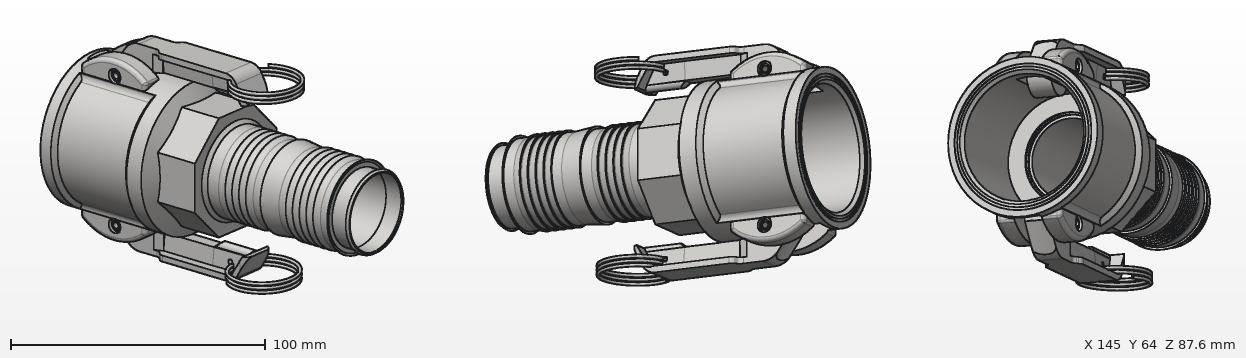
import cadquery as cq
import math

LENGTH = 145.0
HALF_HEIGHT = 43.8
REACH = 87.0
CLEARANCE = 1.5

body_radius = 64.0 / 2
body_end = 51.5
cone_angle = math.radians(60)
bore_radius = 51.0 / 2
bore_chamfer = 1.5
floor_x = 44.2
face_groove_outer = 29.3
face_groove_inner = 28.1
face_groove_depth = 0.5

hex_flats = 50.2
hex_end = 73.2
octagon_sides = 8

relief_start = 5.4
relief_end = 44.1
relief_floor_start = 7.1
relief_floor_end = 41.9
relief_radius = 29.9
relief_edge_y = 14.2
relief_edge_z = 28.3
relief_floor_y = 15.5
relief_floor_z = 25.5
relief_round_y = 14.5
relief_round_z = 26.8

shoulder_radius = 41.9 / 2
shoulder_end = 74.8
tail_radius = 37.0 / 2
tooth_radius = 38.5 / 2
tooth_pitch = 3.5
tooth_length = 3.0
teeth_per_group = 5
first_group_x = 80.3
second_group_x = 114.7
barb_x = 102.0
barb_end = 110.5
barb_radius = 39.0 / 2
tail_end = 136.2
tail_lip = 0.1
sleeve_radius = 33.0 / 2
sleeve_flange_radius = 35.0 / 2
sleeve_rim_radius = 16.7
sleeve_flange_x = 143.8
passage_radius = 32.3 / 2
passage_step_radii = (36.5 / 2, 35.0 / 2)
passage_step_depth = 1.0

ear_center_x = 22.0
ear_half_length = 16.7
ear_top = 38.3
ear_arc_radius = 25.4
ear_base = 24.6
ear_inner_y = 11.7 / 2
ear_outer_y = 14.0
ear_edge_round = 1.9
ear_end_round = 1.5

window_start = 7.5
window_end = 34.5
window_bottom = 14.5
ramp_start = 2.0
ramp_angle = math.radians(45)

pin_x = 23.0
pin_z = 31.5
pin_radius = 3.0
pin_recess = 0.7
pin_bore_radius = 1.3
pin_chamfer = 1.0

lever_offset_y = -0.3
cam_width = 10.3
cam_x = 23.2
cam_z = 29.0
cam_radius = 8.5
nose_x = 21.5
nose_z = 40.5
crown_x = 28.1
cam_slope = math.radians(55)
scoop_radius = 18.1
scoop_depth = 0.7
cam_back_x = 35.4
plate_width = 15.7
plate_thickness = 2.6
plate_neck_x = 38.3
plate_wide_x = 40.6
plate_neck_round = 2.9
plate_bend_x = 74.5
plate_bend_radius = 6.4
plate_bend_angle = math.radians(60)
lip_end_x = 85.1
lip_thickness = 2.5
lip_round = 3.6
web_start = 39.2
web_top_width = 7.2
web_bottom_width = 5.8
web_end_narrowing = 1.5
web_bottom = 33.6
foot_start = 64.1
foot_slope_length = 2.9
foot_bottom = 31.3
ring_hole_x = 72.6
ring_hole_z = 37.7
ring_hole_radius = 1.0

ring_x = 88.0
ring_y = 0.7
ring_coil_radius = 14.4
ring_wire_radius = 0.7
ring_pitch = 1.7
ring_full_turns = 2
ring_top_z = 42.0
ring_top_angle = 126
ring_hole_angle = 180


def revolve_about_x(points):
    """Solid of revolution from (x, radius) points; the outline is closed along the axis."""
    outline = [(points[0][0], 0), *points, (points[-1][0], 0)]
    return cq.Workplane("XY").polyline(outline).close().revolve(360, (0, 0, 0), (1, 0, 0))


def slab(outline, width):
    """Extrude a closed XZ outline symmetrically about Y = 0."""
    return outline.extrude(width / 2, both=True)


def xz_polygon(points):
    return cq.Workplane("XZ").polyline(points).close()


def both_sides(solid):
    """A feature together with its copy turned half a turn about X."""
    return solid.union(solid.rotate((0, 0, 0), (1, 0, 0), 180))


def make_socket():
    cone_end = body_end + (body_radius - shoulder_radius) / math.tan(cone_angle)
    socket = revolve_about_x([
        (0, body_radius),
        (body_end, body_radius),
        (cone_end, shoulder_radius),
    ])
    octagon_diameter = hex_flats / math.cos(math.pi / octagon_sides)
    octagon = (
        cq.Workplane("YZ", origin=(floor_x, 0, 0))
        .transformed(rotate=(0, 0, 180 / octagon_sides))
        .polygon(octagon_sides, octagon_diameter)
        .extrude(hex_end - floor_x)
    )
    return socket.union(octagon)


def make_relief():
    top = body_radius + CLEARANCE
    flare = (top - relief_radius) / (body_radius - relief_radius)
    lead_in = (relief_floor_start - relief_start) * flare
    lead_out = (relief_end - relief_floor_end) * flare
    ring = (
        cq.Workplane("XY")
        .polyline([
            (relief_floor_start, relief_radius),
            (relief_floor_end, relief_radius),
            (relief_floor_end + lead_out, top),
            (relief_floor_start - lead_in, top),
        ])
        .close()
        .revolve(360, (0, 0, 0), (1, 0, 0))
    )
    side = (
        cq.Workplane("YZ")
        .moveTo(relief_floor_y, -relief_floor_z)
        .threePointArc((relief_round_y, -relief_round_z), (relief_edge_y, -relief_edge_z))
        .lineTo(relief_edge_y, -top)
        .lineTo(REACH, -top)
        .lineTo(REACH, top)
        .lineTo(relief_edge_y, top)
        .lineTo(relief_edge_y, relief_edge_z)
        .threePointArc((relief_round_y, relief_round_z), (relief_floor_y, relief_floor_z))
        .close()
        .extrude(LENGTH)
    )
    return both_sides(ring.intersect(side))


def tooth_points(first_x):
    """Saw-tooth outline: each tooth rises at once, then falls in a cone to the tail radius."""
    points = []
    for i in range(teeth_per_group):
        x = first_x + i * tooth_pitch
        points += [(x, tail_radius), (x, tooth_radius), (x + tooth_length, tail_radius)]
    return points


def make_tail():
    first_group = tooth_points(first_group_x)[1:]
    return revolve_about_x([
        (body_end, shoulder_radius),
        (hex_end, shoulder_radius),
        (shoulder_end, tooth_radius),
        *first_group,
        (barb_x, tail_radius),
        (barb_x, barb_radius),
        (barb_end, tail_radius),
        *tooth_points(second_group_x),
        (tail_end - tail_lip, tail_radius),
        (tail_end - tail_lip, barb_radius),
        (tail_end, barb_radius),
        (tail_end, sleeve_radius),
        (sleeve_flange_x, sleeve_radius),
        (sleeve_flange_x, sleeve_flange_radius),
        (LENGTH, sleeve_rim_radius),
    ])


def make_bore():
    outer_step, inner_step = passage_step_radii
    first_step_x = floor_x + passage_step_depth
    second_step_x = first_step_x + passage_step_depth
    return revolve_about_x([
        (0, bore_radius + bore_chamfer),
        (bore_chamfer, bore_radius),
        (floor_x, bore_radius),
        (floor_x, outer_step),
        (first_step_x, outer_step),
        (first_step_x, inner_step),
        (second_step_x, inner_step),
        (second_step_x, passage_radius),
        (LENGTH, passage_radius),
    ])


def make_face_groove():
    """Shallow ring groove in the mouth face."""
    ring = cq.Workplane("YZ").circle(face_groove_outer).circle(face_groove_inner)
    return ring.extrude(face_groove_depth)


def make_ears():
    left = ear_center_x - ear_half_length
    right = ear_center_x + ear_half_length
    arc_drop = ear_arc_radius - math.sqrt(ear_arc_radius**2 - ear_half_length**2)
    shoulder_z = ear_top - arc_drop
    ear = (
        cq.Workplane("XZ", origin=(0, -ear_inner_y, 0))
        .moveTo(left, ear_base)
        .lineTo(left, shoulder_z)
        .threePointArc((ear_center_x, ear_top), (right, shoulder_z))
        .lineTo(right, ear_base)
        .close()
        .extrude(ear_outer_y - ear_inner_y)
    )
    ear = ear.edges("|Y and (not <Z)").fillet(ear_end_round)
    ear = ear.faces("<Y").edges("not(<Z)").fillet(ear_edge_round)
    return ear.union(ear.mirror("XZ"))


def make_window():
    window = cq.Workplane("XY").box(
        window_end - window_start, 2 * ear_inner_y, REACH, centered=(False, True, False)
    ).translate((window_start, 0, window_bottom))
    ramp_drop = (window_start - ramp_start) * math.tan(ramp_angle)
    ramp = slab(
        xz_polygon([
            (ramp_start, body_radius),
            (window_start, body_radius - ramp_drop),
            (window_start, body_radius + CLEARANCE),
            (ramp_start, body_radius + CLEARANCE),
        ]),
        2 * ear_inner_y,
    )
    return window.union(ramp)


def y_cylinder(x, z, radius, half_length):
    return cq.Workplane("XZ").center(x, z).circle(radius).extrude(half_length, both=True)


def make_cam():
    """Narrow front of the lever: round cam, scooped sloping nose and rounded crown."""
    left = cam_x - cam_radius
    slope_foot_z = nose_z - (nose_x - left) * math.tan(cam_slope)
    run = crown_x - nose_x
    rise = HALF_HEIGHT - nose_z
    crown_radius = (run**2 + rise**2) / (2 * rise)
    half_turn = math.atan2(run, crown_radius - rise) / 2
    crown_mid = (
        crown_x - crown_radius * math.sin(half_turn),
        HALF_HEIGHT - crown_radius * (1 - math.cos(half_turn)),
    )
    outline = (
        cq.Workplane("XZ")
        .moveTo(left, cam_z)
        .lineTo(left, slope_foot_z)
        .lineTo(nose_x, nose_z)
        .threePointArc(crown_mid, (crown_x, HALF_HEIGHT))
        .lineTo(cam_back_x, HALF_HEIGHT)
        .lineTo(cam_back_x, web_bottom)
        .lineTo(cam_x + cam_radius, cam_z)
        .threePointArc((cam_x, cam_z - cam_radius), (left, cam_z))
        .close()
    )
    cam = slab(outline, cam_width)
    slope_direction = (math.cos(cam_slope), 0, math.sin(cam_slope))
    outward = (-math.sin(cam_slope), 0, math.cos(cam_slope))
    distance = scoop_radius - scoop_depth
    scoop_start = cq.Vector(left, 0, slope_foot_z) + cq.Vector(*outward) * distance
    scoop_plane = cq.Plane(scoop_start.toTuple(), (0, 1, 0), slope_direction)
    scoop = cq.Workplane(scoop_plane).circle(scoop_radius).extrude(REACH)
    return cam.cut(scoop)


def lip_inner_x(z):
    """X of the inner face of the lip at height z."""
    inner_foot_x = lip_end_x - lip_thickness
    return inner_foot_x - (z - foot_bottom) / math.tan(plate_bend_angle)


def make_plate():
    """Flat handle plate, bent down at its end into a rounded lip."""
    under = HALF_HEIGHT - plate_thickness

    def bend_point(angle):
        x = plate_bend_x + plate_bend_radius * math.sin(angle)
        z = HALF_HEIGHT - plate_bend_radius * (1 - math.cos(angle))
        return (x, z)

    bend_end = bend_point(plate_bend_angle)
    lip_end_z = bend_end[1] - (lip_end_x - bend_end[0]) * math.tan(plate_bend_angle)
    outline = (
        cq.Workplane("XZ")
        .moveTo(crown_x, HALF_HEIGHT)
        .lineTo(plate_bend_x, HALF_HEIGHT)
        .threePointArc(bend_point(plate_bend_angle / 2), bend_end)
        .lineTo(lip_end_x, lip_end_z)
        .lineTo(lip_end_x - lip_thickness, lip_end_z)
        .lineTo(lip_inner_x(under), under)
        .lineTo(crown_x, under)
        .close()
    )
    neck = cam_width / 2
    wide = plate_width / 2
    plan = (
        cq.Workplane("XY")
        .polyline([
            (crown_x, -neck),
            (plate_neck_x, -neck),
            (plate_wide_x, -wide),
            (lip_end_x, -wide),
            (lip_end_x, wide),
            (plate_wide_x, wide),
            (plate_neck_x, neck),
            (crown_x, neck),
        ])
        .close()
        .extrude(REACH)
        .edges("|Z and >X")
        .fillet(lip_round)
    )
    neck_box = cq.selectors.BoxSelector(
        (plate_neck_x - CLEARANCE, -plate_width, 0),
        (plate_wide_x + CLEARANCE, plate_width, REACH),
    )
    plan = plan.edges("|Z").edges(neck_box).fillet(plate_neck_round)
    return slab(outline, plate_width).intersect(plan)


def web_section(top_width, bottom_width):
    top_z = HALF_HEIGHT - plate_thickness
    return [
        (-top_width / 2, top_z),
        (top_width / 2, top_z),
        (bottom_width / 2, web_bottom),
        (-bottom_width / 2, web_bottom),
    ]


def make_web():
    """Stiffening web below the plate, with a round-bottomed foot near the lip."""
    full = web_section(web_top_width, web_bottom_width)
    end_top_width = web_top_width - web_end_narrowing
    end_bottom_width = web_bottom_width - web_end_narrowing
    front = (
        cq.Workplane("YZ", origin=(web_start, 0, 0))
        .polyline(full).close()
        .extrude(foot_start - web_start)
    )
    rear = (
        cq.Workplane("YZ", origin=(foot_start, 0, 0))
        .polyline(full).close()
        .workplane(offset=lip_end_x - foot_start)
        .polyline(web_section(end_top_width, end_bottom_width)).close()
        .loft(combine=True)
    )
    foot = (
        cq.Workplane("YZ", origin=(foot_start, 0, 0))
        .moveTo(-end_bottom_width / 2, web_bottom)
        .threePointArc((0, foot_bottom), (end_bottom_width / 2, web_bottom))
        .close()
        .extrude(lip_end_x - foot_start)
    )
    side = slab(
        xz_polygon([
            (web_start, HALF_HEIGHT),
            (web_start, web_bottom),
            (foot_start, web_bottom),
            (foot_start + foot_slope_length, foot_bottom),
            (lip_inner_x(foot_bottom), foot_bottom),
            (lip_inner_x(HALF_HEIGHT), HALF_HEIGHT),
        ]),
        plate_width,
    )
    transition = (
        cq.Workplane("YZ", origin=(cam_back_x, 0, (HALF_HEIGHT + web_bottom) / 2))
        .rect(cam_width, HALF_HEIGHT - web_bottom)
        .workplane(offset=web_start - cam_back_x)
        .rect(web_top_width, HALF_HEIGHT - web_bottom)
        .loft(combine=True)
    )
    return front.union(rear).union(foot).intersect(side).union(transition)


def make_coil(turns):
    """Part of the ring wire: a helix that climbs from Z = 0, starting on the +X side."""
    path = cq.Wire.makeHelix(ring_pitch, ring_pitch * turns, ring_coil_radius)
    return (
        cq.Workplane("XZ")
        .center(ring_coil_radius, 0)
        .circle(ring_wire_radius)
        .sweep(cq.Workplane(obj=path), isFrenet=True)
    )


def make_ring():
    """Split ring with its axis along Z: full turns above a part turn that ends in the hole."""
    lost_angle = ring_hole_angle - ring_top_angle
    part_turn = 1 - lost_angle / 360
    ring = make_coil(part_turn).rotate((0, 0, 0), (0, 0, 1), lost_angle)
    full_turn = make_coil(1)
    for i in range(ring_full_turns):
        ring = ring.union(full_turn.translate((0, 0, (part_turn + i) * ring_pitch)))
    bottom_z = ring_top_z - ring_pitch * (ring_full_turns + part_turn)
    ring = ring.rotate((0, 0, 0), (0, 0, 1), ring_top_angle)
    return ring.translate((ring_x, ring_y, bottom_z))


def make_lever():
    lever = make_cam().union(make_plate()).union(make_web())
    lever = lever.cut(y_cylinder(ring_hole_x, ring_hole_z, ring_hole_radius, plate_width))
    return lever.translate((0, lever_offset_y, 0)).union(make_ring())


def make_pin():
    """Solid hinge pin with chamfered ends, set back from the ear faces."""
    pin = y_cylinder(pin_x, pin_z, pin_radius, ear_outer_y - pin_recess)
    return pin.faces("<Y or >Y").chamfer(pin_chamfer)


body = make_socket().union(make_tail()).union(both_sides(make_ears()))
body = body.cut(make_relief()).cut(make_bore()).cut(make_face_groove())
body = body.cut(both_sides(make_window()))
pin_hole = y_cylinder(pin_x, pin_z, pin_radius, REACH)
body = body.cut(both_sides(pin_hole))

pin_bore = y_cylinder(pin_x, pin_z, pin_bore_radius, REACH)
hinged_lever = make_lever().union(make_pin()).cut(pin_bore)
result = body.union(both_sides(hinged_lever))